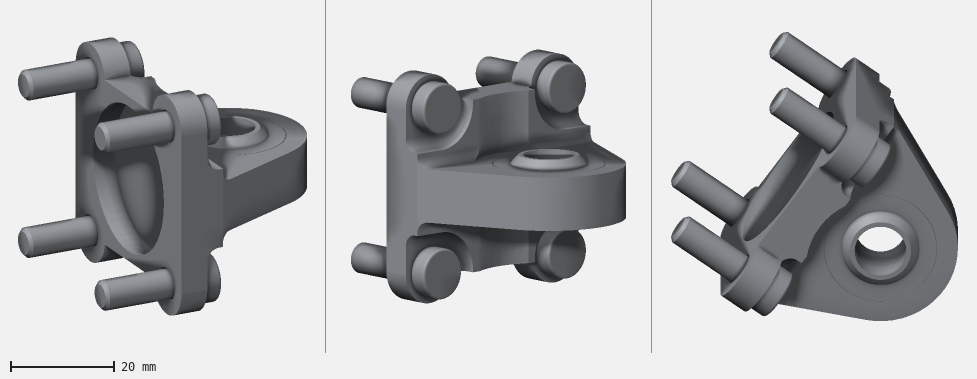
import cadquery as cq
import math


screw_offset = 16.25
ear_radius = 6.25
ear_thickness = 5.6
base_half_width = screw_offset + ear_radius
base_half_height = 17.0
base_thickness = 9.0
socket_diameter = 30.0
socket_depth = 4.75

recess_radius = 8.2
recess_floor_fillet = 2.5

pivot_height = 22.0
eye_radius = 15.0
eye_half_thickness = 5.25
eye_root_fillet = 2.0
scallop_radius = 14.45

ball_radius = 9.15
ball_half_height = 7.0
bore_diameter = 10.0
groove_diameter = 22.0
groove_width = 0.15
groove_depth = 0.2

screw_hole_diameter = 6.6
shank_diameter = 6.0
shank_reach = 14.5
shank_tip_chamfer = 0.65
head_diameter = 10.0
head_height = 3.8
head_edge_fillet = 0.5

cut_height = 51.5
signs = (-1, 1)
screw_places = [(x * screw_offset, z * screw_offset) for x in signs for z in signs]


def block(half_width, half_height, thickness):
    """Block centred on X and Z that rises from the mounting face."""
    return cq.Workplane("XY").box(
        2 * half_width, thickness, 2 * half_height, centered=(True, False, True)
    )


def rod_along_y(diameter, start, end, x=0.0, z=0.0):
    """Cylinder parallel to Y between two Y levels."""
    rod = cq.Workplane("XZ", origin=(x, start, z)).circle(diameter / 2)
    return rod.extrude(start - end)


def rod_along_bore(radius, bottom, top):
    """Cylinder on the bore axis between two Z levels."""
    rod = cq.Workplane("XY", origin=(0, pivot_height, bottom)).circle(radius)
    return rod.extrude(top - bottom)


def make_base():
    """Base block with full-height ears; the corner recesses bring the ears down later."""
    base = block(base_half_width, screw_offset, base_thickness)
    base = base.union(block(screw_offset, base_half_height, base_thickness))
    for x, z in screw_places:
        base = base.union(rod_along_y(2 * ear_radius, 0, base_thickness, x, z))
    return base


def make_eye_outline():
    """Round eye whose flanks run tangent to the outer top edges of the base."""
    corner_drop = pivot_height - base_thickness
    corner_distance = math.hypot(base_half_width, corner_drop)
    tangent_angle = math.acos(eye_radius / corner_distance) - math.atan2(corner_drop, base_half_width)
    tangent_x = eye_radius * math.cos(tangent_angle)
    tangent_y = pivot_height + eye_radius * math.sin(tangent_angle)
    eye_top = pivot_height + eye_radius
    return (
        cq.Workplane("XY", origin=(0, 0, -base_half_height))
        .moveTo(-base_half_width, 0)
        .lineTo(-base_half_width, base_thickness)
        .lineTo(-tangent_x, tangent_y)
        .threePointArc((0, eye_top), (tangent_x, tangent_y))
        .lineTo(base_half_width, base_thickness)
        .lineTo(base_half_width, 0)
        .close()
        .extrude(2 * base_half_height)
    )


def make_eye():
    """Plate of constant thickness that flares into the base with a fillet on each face."""
    plate = block(base_half_width, eye_half_thickness, pivot_height + eye_radius)
    flare_half_height = eye_half_thickness + eye_root_fillet
    flare_top = base_thickness + eye_root_fillet
    flare = block(base_half_width, flare_half_height, flare_top)
    for side in signs:
        fillet_round = (
            cq.Workplane("YZ", origin=(-base_half_width, flare_top, side * flare_half_height))
            .circle(eye_root_fillet)
            .extrude(2 * base_half_width)
        )
        flare = flare.cut(fillet_round)
    return plate.union(flare).intersect(make_eye_outline())


def make_head_recess(sign_x, sign_z):
    """Corner recess, rounded about the screw axis and filleted at its floor, open to the outside."""
    length = 2 * recess_radius + ear_radius
    centre = screw_offset - recess_radius + length / 2
    recess = (
        cq.Workplane("XY")
        .box(length, cut_height, length, centered=(True, False, True))
        .edges("|Y")
        .fillet(recess_radius)
        .faces("<Y")
        .edges()
        .fillet(recess_floor_fillet)
    )
    return recess.translate((sign_x * centre, ear_thickness, sign_z * centre))


def make_ball():
    """Ball with flat ends, centred in the eye."""
    ball = cq.Workplane("XY", origin=(0, pivot_height, 0)).sphere(ball_radius)
    return ball.intersect(rod_along_bore(ball_radius, -ball_half_height, ball_half_height))


def make_groove(side):
    """Narrow ring groove in one face of the eye."""
    floor = side * (eye_half_thickness - groove_depth)
    face = side * eye_half_thickness
    outer_radius = groove_diameter / 2
    return rod_along_bore(outer_radius, floor, face).cut(
        rod_along_bore(outer_radius - groove_width, floor, face)
    )


def make_bracket():
    """Base, eye and ball as one body, with every recess and hole cut."""
    bracket = make_base().union(make_eye())
    for side in signs:
        scallop = rod_along_bore(scallop_radius, side * eye_half_thickness, side * cut_height)
        bracket = bracket.cut(scallop)
    for sign_x in signs:
        for sign_z in signs:
            bracket = bracket.cut(make_head_recess(sign_x, sign_z))
    for x, z in screw_places:
        bracket = bracket.cut(rod_along_y(screw_hole_diameter, 0, ear_thickness, x, z))
    bracket = bracket.cut(rod_along_y(socket_diameter, 0, socket_depth))
    for side in signs:
        bracket = bracket.cut(make_groove(side))
    bracket = bracket.union(make_ball())
    return bracket.cut(rod_along_bore(bore_diameter / 2, -ball_half_height, ball_half_height))


def make_screw(x, z):
    """Screw whose head rests on the ear and whose shank passes through the clearance hole."""
    shank = rod_along_y(shank_diameter, -shank_reach, ear_thickness, x, z)
    shank = shank.faces("<Y").chamfer(shank_tip_chamfer)
    head = rod_along_y(head_diameter, ear_thickness, ear_thickness + head_height, x, z)
    head = head.edges().fillet(head_edge_fillet)
    return shank.union(head)


bracket = make_bracket()
screws = [make_screw(x, z) for x, z in screw_places]

result = cq.Compound.makeCompound([bracket.val(), *[screw.val() for screw in screws]])